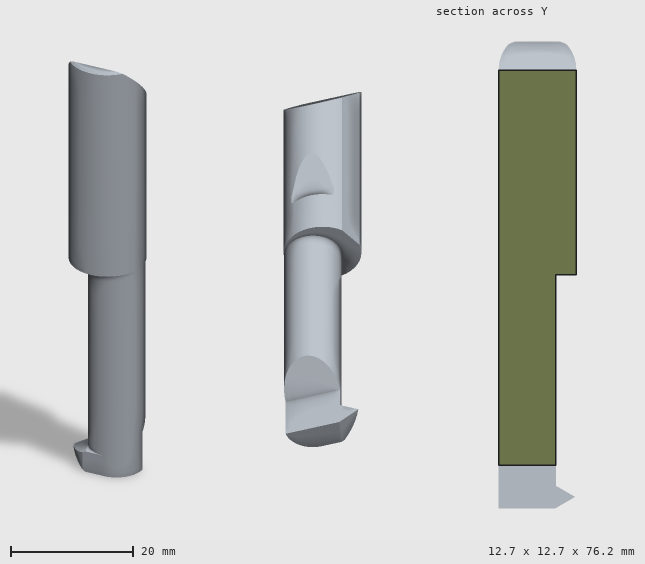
import cadquery as cq
import math

shank_radius = 6.35
total_length = 76.2
neck_length = total_length / 2
end_chamfer = 0.4

end_flat_y = -4.6

flat_edge_y = 4.2

notch_floor_y = 5.2
notch_bottom_z = 45.3
notch_floor_height = 1.5
notch_top_z = 54.5
notch_corner_radius = 0.4

neck_radius = 4.7
neck_x = shank_radius - neck_radius

rake_end_z = 7.05

tooth_tip_x = -6.15
tooth_tip_z = 1.9
tooth_height = 3.8
tooth_heel_x = -2.3
tooth_half_angle = math.radians(30)
tooth_relief_rise = 0.63
tooth_front_radius = 11.7

margin = 5.0


def extrude_along_x(points):
    """Prism with a YZ outline, wider than the part in X."""
    half_width = shank_radius + margin
    return cq.Workplane("YZ").polyline(points).close().extrude(half_width, both=True)


def make_shank():
    shank = cq.Workplane("XY", origin=(0, 0, neck_length)).circle(shank_radius)
    return shank.extrude(total_length - neck_length).faces(">Z").chamfer(end_chamfer)


def make_end_slant_cutter():
    outer_y = shank_radius + margin
    return extrude_along_x([
        (end_flat_y - margin, total_length + margin),
        (outer_y, total_length - (outer_y - end_flat_y)),
        (outer_y, total_length + margin),
    ])


def make_flat_cutter():
    flat_edge_x = -math.sqrt(shank_radius**2 - flat_edge_y**2)
    slope = (flat_edge_x + shank_radius) / flat_edge_y
    start = (-shank_radius - slope * margin, -margin)
    end_y = flat_edge_y + margin
    end = (-shank_radius + slope * end_y, end_y)
    outline = [start, end, (start[0] - margin, end_y)]
    return (
        cq.Workplane("XY", origin=(0, 0, neck_length))
        .polyline(outline)
        .close()
        .extrude(total_length - neck_length)
    )


def make_notch_cutter():
    ramp_start_z = notch_bottom_z + notch_floor_height
    ramp_slope = (notch_top_z - ramp_start_z) / (shank_radius - notch_floor_y)
    outer_y = shank_radius + margin
    notch = extrude_along_x([
        (outer_y, notch_bottom_z),
        (notch_floor_y, notch_bottom_z),
        (notch_floor_y, ramp_start_z),
        (outer_y, notch_top_z + ramp_slope * margin),
    ])
    inner_corner = cq.selectors.NearestToPointSelector((0, notch_floor_y, notch_bottom_z))
    return notch.edges(inner_corner).fillet(notch_corner_radius)


def make_neck():
    neck = cq.Workplane("XY").center(neck_x, 0).circle(neck_radius).extrude(neck_length)
    outer_y = neck_radius + margin
    rake_cutter = extrude_along_x([
        (0, -margin),
        (outer_y, -margin),
        (outer_y, rake_end_z + outer_y),
        (0, rake_end_z),
    ])
    return neck.cut(rake_cutter)


def make_flank_cutter(side):
    """Wedge outside one tooth flank; side is +1 for the upper flank and -1 for the lower one."""

    def flank_section(y, reach):
        relief = tooth_relief_rise * -y / neck_radius
        start_x = tooth_tip_x - margin
        end_x = tooth_tip_x + reach

        def flank_z(x):
            return tooth_tip_z + side * ((x - tooth_tip_x) * math.tan(tooth_half_angle) - relief)

        far_z = tooth_tip_z + side * (tooth_height + reach)
        return [(start_x, flank_z(start_x)), (end_x, flank_z(end_x)), (end_x, far_z), (start_x, far_z)]

    reach = neck_x - tooth_tip_x
    rake_section = cq.Workplane("XZ").polyline(flank_section(0, reach)).close()
    heel_section = rake_section.workplane(offset=neck_radius).polyline(flank_section(-neck_radius, reach))
    return heel_section.close().loft(ruled=True)


def make_tooth_front_midpoint():
    """Middle of the rounded front face, in plan, between the tip and the heel."""
    run_x = tooth_heel_x - tooth_tip_x
    run_y = -neck_radius
    chord = math.hypot(run_x, run_y)
    bulge = tooth_front_radius - math.sqrt(tooth_front_radius**2 - (chord / 2) ** 2)
    return (
        tooth_tip_x + run_x / 2 + bulge * run_y / chord,
        run_y / 2 - bulge * run_x / chord,
    )


def make_tooth():
    return (
        cq.Workplane("XY")
        .moveTo(tooth_tip_x, 0)
        .threePointArc(make_tooth_front_midpoint(), (tooth_heel_x, -neck_radius))
        .lineTo(neck_x, -neck_radius)
        .lineTo(neck_x, 0)
        .close()
        .extrude(tooth_height)
        .cut(make_flank_cutter(1))
    )


shank = make_shank().cut(make_end_slant_cutter()).cut(make_flat_cutter()).cut(make_notch_cutter())
toothed_neck = make_neck().union(make_tooth()).cut(make_flank_cutter(-1))
result = shank.union(toothed_neck)